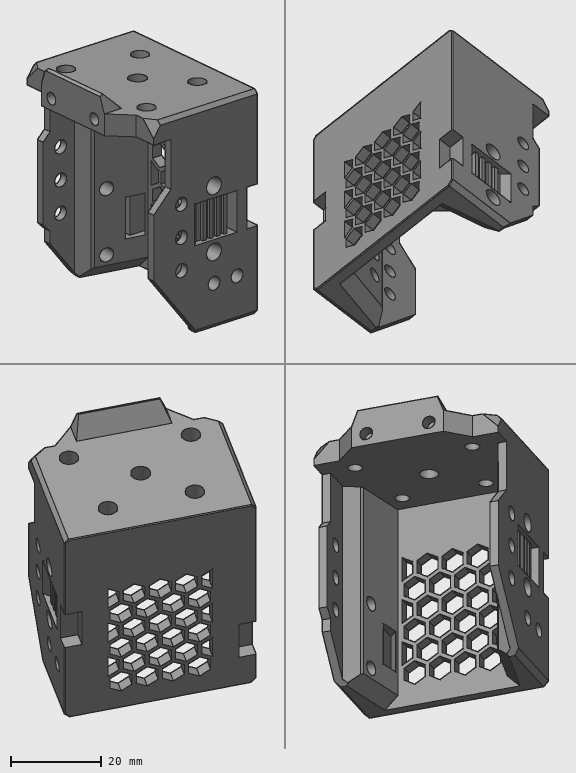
import cadquery as cq
import math

WIDTH = 44.0
HALF_WIDTH = WIDTH / 2
TOP_Z = 54.2
TOP_SIDE_CHAMFER = 1.0
BOTTOM_SIDE_CHAMFER = 1.2
BACK_EDGE_CHAMFER = 0.25

PLATE_THICKNESS = 5.25
PLATE_UNDERSIDE_Z = TOP_Z - PLATE_THICKNESS
SHOULDER_FORWARD = 29.95
SHOULDER_HALF_WIDTH = 15.9
LIP_FORWARD = 35.0
LIP_HALF_WIDTH = 10.95
CORNER_CUT = 3.75

RIDGE_TOP_Z = 58.3
RIDGE_TOP_HALF_WIDTH = 9.3
RIDGE_TOP_FORWARD = 34.15
RIDGE_FRONT_BEVEL = 0.4

WALL_FRONT = 25.0
LEFT_TAB_FRONT = 27.0
RIGHT_TAB_FRONT = 29.9
TAB_SLOPE_TOP_Z = 37.0
LEFT_TAB_LOWER_Z = 15.1
SLOPE_TOP_Z = 16.25
SLOPE_BOTTOM_FORWARD = 17.0
SLOPE_RATE = SLOPE_TOP_Z / (RIGHT_TAB_FRONT - SLOPE_BOTTOM_FORWARD)

BACK_PLATE_THICKNESS = 2.6
CAVITY_BACK = (13.05, BACK_PLATE_THICKNESS)
CAVITY_TAPER_END = (16.0, 15.55)
CAVITY_BEVEL_END = (16.45, 16.15)
CAVITY_FRONT = (20.0, 18.0)
FLARE_HEIGHT = 3.1

SCREW_DIAMETER = 3.3
INSERT_DIAMETER = 4.25
WALL_INSERT_DEPTH = 7.0
CENTER_HOLE_DIAMETER = 4.4
CENTER_HOLE_FORWARD = 16.45
BACK_INSERT_X = 9.95
BACK_INSERT_FORWARD = 7.5
FRONT_INSERT_X = 14.0
FRONT_INSERT_FORWARD = 25.4
MAGNET_DIAMETER = 3.0
MAGNET_X = 7.45
MAGNET_Z = 51.8
MAGNET_DEPTH = 3.0
TAB_HOLE_FORWARD = 22.0
TAB_HOLE_MIDDLE_Z = 24.6
TAB_HOLE_PITCH = 8.0
MOUNT_HOLE_Z = 11.1

LEFT_CLAMP_Z = 13.6
RIGHT_CLAMP_Z = 26.6
CLAMP_HEIGHT = 10.0
CLAMP_INSERT_FORWARD = 12.65
CLAMP_INSERT_PITCH = 15.9
NOTCH_FORWARD = 3.25
NOTCH_DEPTH = 4.0
WINDOW_BACK = 6.05
COMB_START = 8.1
COMB_TOOTH = 1.0
COMB_TEETH = 4
COMB_TOP_DEPTH = 1.0
COMB_FLOOR_DEPTH = 1.75
WINDOW_FRONT = 18.2
RAMP_INNER_X = 13.25
RAMP_INNER_FORWARD = 3.4
RAMP_RUN = 2.0

HEX_PITCH = 6.0
HEX_FLAT_WIDTH = 5.0
HEX_ROWS = 6
HEX_TOP_ROW_Z = 34.05
HEX_ROW_PITCH = HEX_PITCH * math.sqrt(3) / 2

MARGIN = 2.9


def with_mirror(right):
    """Closed outline from its right half, listed in order, and the mirrored left half."""
    return right + [(-x, other) for x, other in reversed(right)]


def plan_prism(points, bottom_z, height):
    """Vertical prism over (x, forward distance) points."""
    outline = [(x, -forward) for x, forward in points]
    return cq.Workplane("XY").workplane(offset=bottom_z).polyline(outline).close().extrude(height)


def side_prism(points, start_x, length):
    """Prism along X over (forward distance, z) points."""
    outline = [(-forward, z) for forward, z in points]
    return cq.Workplane("YZ").workplane(offset=start_x).polyline(outline).close().extrude(length)


def front_prism(points, length):
    """Prism over (x, z) points, reaching forward from the back face."""
    return cq.Workplane("XZ").polyline(points).close().extrude(length)


def side_hole(side, forward, z):
    """Straight screw hole through one side wall."""
    face = cq.Workplane("YZ", origin=(0, -forward, z))
    return face.circle(SCREW_DIAMETER / 2).extrude(side * HALF_WIDTH)


def insert_cone(mouth, axis, depth):
    """Tapered seat of a threaded insert, narrowing along the axis to the screw diameter."""
    mouth_radius = INSERT_DIAMETER / 2
    return cq.Solid.makeCone(mouth_radius, SCREW_DIAMETER / 2, depth, cq.Vector(mouth), cq.Vector(axis))


def slope_z(forward):
    """Height of the sloped lower front edge of the walls."""
    return SLOPE_RATE * (forward - SLOPE_BOTTOM_FORWARD)


def make_wall(side):
    """Solid half of the block up to the mid plane; its front edge carries that side's tab."""
    tab_front = LEFT_TAB_FRONT if side < 0 else RIGHT_TAB_FRONT
    points = [(0, 0), (0, TOP_Z), (WALL_FRONT, TOP_Z), (WALL_FRONT, TAB_SLOPE_TOP_Z)]
    points.append((tab_front, TAB_SLOPE_TOP_Z - (tab_front - WALL_FRONT)))
    if side < 0:
        points.append((tab_front, LEFT_TAB_LOWER_Z))
        points.append((WALL_FRONT, LEFT_TAB_LOWER_Z - (tab_front - WALL_FRONT)))
        points.append((WALL_FRONT, slope_z(WALL_FRONT)))
    else:
        points.append((tab_front, slope_z(tab_front)))
    points.append((SLOPE_BOTTOM_FORWARD, 0))
    return side_prism(points, 0, side * HALF_WIDTH)


def make_cavity():
    front = (CAVITY_FRONT[0], LIP_FORWARD)
    right = [CAVITY_BACK, CAVITY_TAPER_END, CAVITY_BEVEL_END, CAVITY_FRONT, front]
    return plan_prism(with_mirror(right), 0, PLATE_UNDERSIDE_Z)


def make_flare():
    """Widening of the cavity at 45 degrees towards its bottom edge."""
    taper = (CAVITY_TAPER_END[0] - CAVITY_BACK[0]) / (CAVITY_TAPER_END[1] - CAVITY_BACK[1])
    front_forward = CAVITY_FRONT[1]
    back_x = CAVITY_BACK[0]
    front_x = back_x + taper * (front_forward - BACK_PLATE_THICKNESS)

    def outline(growth):
        right = [(back_x + growth, -BACK_PLATE_THICKNESS), (front_x + growth, -front_forward)]
        return with_mirror(right)

    bottom = cq.Workplane("XY").polyline(outline(FLARE_HEIGHT)).close()
    return bottom.workplane(offset=FLARE_HEIGHT).polyline(outline(0)).close().loft(ruled=True)


def make_top_plate():
    right = [(HALF_WIDTH, 0), (HALF_WIDTH, SHOULDER_FORWARD), (SHOULDER_HALF_WIDTH, SHOULDER_FORWARD),
             (LIP_HALF_WIDTH, LIP_FORWARD)]
    return plan_prism(with_mirror(right), PLATE_UNDERSIDE_Z, PLATE_THICKNESS)


def make_envelope():
    """Front outline with the long side edges chamfered at top and bottom."""
    right = [(HALF_WIDTH - BOTTOM_SIDE_CHAMFER, 0), (HALF_WIDTH, BOTTOM_SIDE_CHAMFER),
             (HALF_WIDTH, TOP_Z - TOP_SIDE_CHAMFER), (HALF_WIDTH - TOP_SIDE_CHAMFER, TOP_Z)]
    return front_prism(with_mirror(right), LIP_FORWARD)


def make_corner_cut(side):
    """Wedge taking off an upper front corner of the plate, at 45 degrees to the front."""
    reach = CORNER_CUT / math.sqrt(2)
    corner = cq.Vector(side * HALF_WIDTH, -SHOULDER_FORWARD, TOP_Z)
    inward = cq.Vector(-side, 0, -1).normalized()
    plane = cq.Plane(origin=corner, xDir=inward, normal=inward.cross(cq.Vector(0, 1, 0)))
    triangle = [(-MARGIN, -MARGIN), (reach + MARGIN, -MARGIN), (-MARGIN, reach + MARGIN)]
    return cq.Workplane(plane).polyline(triangle).close().extrude(WIDTH / 4, both=True)


def make_ridge():
    rise = RIDGE_TOP_Z - TOP_Z
    section = [(RIDGE_TOP_FORWARD - rise, TOP_Z), (RIDGE_TOP_FORWARD, RIDGE_TOP_Z),
               (LIP_FORWARD, RIDGE_TOP_Z - RIDGE_FRONT_BEVEL), (LIP_FORWARD, TOP_Z)]
    face = with_mirror([(LIP_HALF_WIDTH, TOP_Z), (RIDGE_TOP_HALF_WIDTH, RIDGE_TOP_Z)])
    bar = side_prism(section, -LIP_HALF_WIDTH, 2 * LIP_HALF_WIDTH)
    return bar.intersect(front_prism(face, LIP_FORWARD))


def make_plate_holes():
    holes = cq.Workplane("XY", origin=(0, -CENTER_HOLE_FORWARD, PLATE_UNDERSIDE_Z))
    holes = holes.circle(CENTER_HOLE_DIAMETER / 2).extrude(PLATE_THICKNESS)
    for x, forward in [(BACK_INSERT_X, BACK_INSERT_FORWARD), (FRONT_INSERT_X, FRONT_INSERT_FORWARD)]:
        for side in (-1, 1):
            holes = holes.add(insert_cone((side * x, -forward, TOP_Z), (0, 0, -1), PLATE_THICKNESS))
    return holes.combine()


def make_magnet_holes():
    front = cq.Workplane("XZ", origin=(0, -LIP_FORWARD, MAGNET_Z))
    circles = front.pushPoints([(-MAGNET_X, 0), (MAGNET_X, 0)]).circle(MAGNET_DIAMETER / 2)
    return circles.extrude(-MAGNET_DEPTH)


def make_tab_holes():
    centers = [(-TAB_HOLE_FORWARD, TAB_HOLE_MIDDLE_Z + step * TAB_HOLE_PITCH) for step in (-1, 0, 1)]
    return cq.Workplane("YZ").pushPoints(centers).circle(SCREW_DIAMETER / 2).extrude(HALF_WIDTH, both=True)


def make_belt_clamp(side, middle_z):
    """Window with a toothed comb, the passage behind its post, the back notch and two insert holes."""
    bottom_z = middle_z - CLAMP_HEIGHT / 2
    comb_top_x = HALF_WIDTH - COMB_TOP_DEPTH
    comb_floor_x = HALF_WIDTH - COMB_FLOOR_DEPTH
    passage_x = RAMP_INNER_X + RAMP_RUN

    window = [(HALF_WIDTH, WINDOW_BACK), (passage_x, WINDOW_BACK)]
    window += [(passage_x, RAMP_INNER_FORWARD - RAMP_RUN), (RAMP_INNER_X, RAMP_INNER_FORWARD)]
    window += [(CAVITY_BACK[0], RAMP_INNER_FORWARD), (CAVITY_BACK[0], COMB_START), (comb_top_x, COMB_START)]
    for tooth in range(COMB_TEETH):
        tooth_end = COMB_START + (2 * tooth + 1) * COMB_TOOTH
        if tooth > 0:
            window.append((comb_floor_x, tooth_end - COMB_TOOTH))
            window.append((comb_top_x, tooth_end - COMB_TOOTH))
        window.append((comb_top_x, tooth_end))
        window.append((comb_floor_x, tooth_end))
    window += [(comb_floor_x, WINDOW_FRONT - COMB_FLOOR_DEPTH), (HALF_WIDTH, WINDOW_FRONT)]
    clamp = plan_prism([(side * x, forward) for x, forward in window], bottom_z, CLAMP_HEIGHT)

    notch_x = HALF_WIDTH - NOTCH_DEPTH
    notch = [(HALF_WIDTH, 0), (HALF_WIDTH, NOTCH_FORWARD), (notch_x, NOTCH_FORWARD), (notch_x, 0)]
    clamp = clamp.add(plan_prism([(side * x, forward) for x, forward in notch], bottom_z, CLAMP_HEIGHT))

    for hole_z in (middle_z - CLAMP_INSERT_PITCH / 2, middle_z + CLAMP_INSERT_PITCH / 2):
        mouth = (side * HALF_WIDTH, -CLAMP_INSERT_FORWARD, hole_z)
        clamp = clamp.add(insert_cone(mouth, (-side, 0, 0), WALL_INSERT_DEPTH))
        clamp = clamp.add(side_hole(side, CLAMP_INSERT_FORWARD, hole_z))
    return clamp.combine()


def make_honeycomb():
    """Staggered hexagon rows; the outermost cells of the wide rows are cut in half."""
    centers = []
    for row in range(HEX_ROWS):
        z = HEX_TOP_ROW_Z - row * HEX_ROW_PITCH
        steps = (-2, -1, 0, 1, 2) if row % 2 == 0 else (-1.5, -0.5, 0.5, 1.5)
        centers += [(step * HEX_PITCH, z) for step in steps]
    across_corners = HEX_FLAT_WIDTH * 2 / math.sqrt(3)
    cells = cq.Workplane("XZ")
    for x, z in centers:
        cell = cq.Workplane("XZ", origin=(x, 0, z)).transformed(rotate=(0, 0, 90))
        cells = cells.add(cell.polygon(6, across_corners).extrude(BACK_PLATE_THICKNESS))
    field = cq.Workplane("XY").box(4 * HEX_PITCH, 2 * BACK_PLATE_THICKNESS, 2 * TOP_Z)
    return cells.combine().intersect(field)


body = make_wall(-1).union(make_wall(1)).cut(make_cavity()).cut(make_flare())
body = body.union(make_top_plate()).intersect(make_envelope())
body = body.faces(">Y").edges().chamfer(BACK_EDGE_CHAMFER)
for side in (-1, 1):
    body = body.cut(make_corner_cut(side))
body = body.union(make_ridge())

body = body.cut(make_plate_holes()).cut(make_magnet_holes()).cut(make_tab_holes())
body = body.cut(make_belt_clamp(-1, LEFT_CLAMP_Z)).cut(make_belt_clamp(1, RIGHT_CLAMP_Z))
for forward in (WINDOW_BACK, CLAMP_INSERT_FORWARD):
    body = body.cut(side_hole(1, forward, MOUNT_HOLE_Z))
result = body.cut(make_honeycomb())